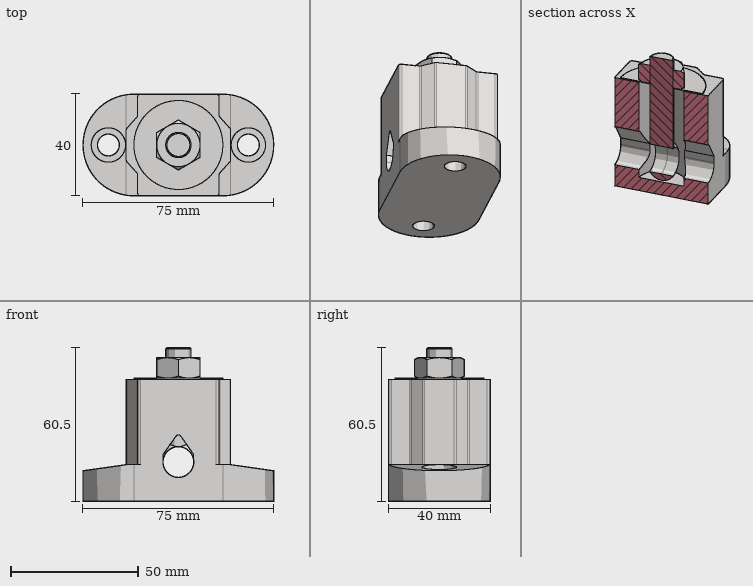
import cadquery as cq
import math

BASE_LENGTH = 75.0
WIDTH = 40.0
BASE_HEIGHT = 14.5
BASE_END_HEIGHT = 12.1

COLUMN_LENGTH = 41.0
COLUMN_TOP = 48.0
NECK_LENGTH = 32.0
NOTCH_START_Y = 6.3
NOTCH_END_Y = 11.3
COLUMN_EDGE_RADIUS = 1.2

MOUNT_SPACING = 55.0
MOUNT_DIAMETER = 8.5
COUNTERBORE_DIAMETER = 13.5
COUNTERBORE_FLOOR = 4.5

ROD_DIAMETER = 12.0
ROD_AXIS_Z = 15.5
PEAK_SHOULDER = 2.95
PEAK_SLOPE = 55.0
PEAK_RADIUS = 1.2

SHANK_DIAMETER = 10.0
BOLT_TOP = 60.5
BOLT_CHAMFER = 0.5
EYE_RING_RADIUS = 3.25
EYE_SECTION_RADIUS = 5.75
EYE_RADIUS = EYE_RING_RADIUS + EYE_SECTION_RADIUS

BORE_DIAMETER = 19.0
BORE_FLOOR = ROD_AXIS_Z - BORE_DIAMETER / 2

WASHER_DIAMETER = 35.0
WASHER_THICKNESS = 0.5
NUT_ACROSS_FLATS = 17.0
NUT_HEIGHT = 8.0
NUT_CHAMFER_ANGLE = 30.0
NUT_SIDES = 6


def upright_cylinder(diameter, bottom, top):
    """Cylinder on the Z axis between two heights."""
    return cq.Workplane("XY").workplane(offset=bottom).circle(diameter / 2).extrude(top - bottom)


def make_base():
    outline = cq.Workplane("XY").slot2D(BASE_LENGTH, WIDTH).extrude(BASE_HEIGHT)
    half_length = BASE_LENGTH / 2
    half_flat = COLUMN_LENGTH / 2
    side_profile = (
        cq.Workplane("XZ")
        .moveTo(-half_length, 0)
        .lineTo(half_length, 0)
        .lineTo(half_length, BASE_END_HEIGHT)
        .lineTo(half_flat, BASE_HEIGHT)
        .lineTo(-half_flat, BASE_HEIGHT)
        .lineTo(-half_length, BASE_END_HEIGHT)
        .close()
        .extrude(WIDTH / 2, both=True)
    )
    return outline.intersect(side_profile)


def make_column():
    """Cross-shaped block with slanted inner corners; every upright edge is rounded."""
    half_length = COLUMN_LENGTH / 2
    half_neck = NECK_LENGTH / 2
    half_width = WIDTH / 2
    quarter = [
        (half_length, NOTCH_START_Y),
        (half_neck, NOTCH_END_Y),
        (half_neck, half_width),
    ]
    right_side = [(x, -y) for x, y in reversed(quarter)] + quarter
    left_side = [(-x, -y) for x, y in right_side]
    return (
        cq.Workplane("XY")
        .workplane(offset=BASE_HEIGHT)
        .polyline(right_side + left_side)
        .close()
        .extrude(COLUMN_TOP - BASE_HEIGHT)
        .edges("|Z")
        .fillet(COLUMN_EDGE_RADIUS)
    )


def make_rod_opening():
    """Cross hole along Y: round below, with straight sides and a rounded peak above."""
    radius = ROD_DIAMETER / 2
    slope = math.radians(PEAK_SLOPE)
    shoulder_z = ROD_AXIS_Z + PEAK_SHOULDER
    sharp_peak_z = shoulder_z + radius * math.tan(slope)
    arc_centre_z = sharp_peak_z - PEAK_RADIUS / math.cos(slope)
    tangent_x = PEAK_RADIUS * math.sin(slope)
    tangent_z = arc_centre_z + PEAK_RADIUS * math.cos(slope)
    return (
        cq.Workplane("XZ")
        .moveTo(-radius, ROD_AXIS_Z)
        .threePointArc((0, ROD_AXIS_Z - radius), (radius, ROD_AXIS_Z))
        .lineTo(radius, shoulder_z)
        .lineTo(tangent_x, tangent_z)
        .threePointArc((0, arc_centre_z + PEAK_RADIUS), (-tangent_x, tangent_z))
        .lineTo(-radius, shoulder_z)
        .close()
        .extrude(WIDTH / 2, both=True)
    )


def make_housing():
    mount_points = [(-MOUNT_SPACING / 2, 0), (MOUNT_SPACING / 2, 0)]
    mount_holes = (
        cq.Workplane("XY")
        .pushPoints(mount_points)
        .circle(MOUNT_DIAMETER / 2)
        .extrude(BASE_HEIGHT)
    )
    counterbores = (
        cq.Workplane("XY")
        .workplane(offset=COUNTERBORE_FLOOR)
        .pushPoints(mount_points)
        .circle(COUNTERBORE_DIAMETER / 2)
        .extrude(BASE_HEIGHT - COUNTERBORE_FLOOR)
    )
    bore = upright_cylinder(BORE_DIAMETER, BORE_FLOOR, COLUMN_TOP)
    block = make_base().cut(mount_holes).cut(counterbores).union(make_column())
    return block.cut(bore).cut(make_rod_opening())


def make_eye_bolt():
    """Shank ending in a rounded eye; the rod hole runs through the eye along Y."""
    eye = (
        cq.Workplane("XY")
        .moveTo(0, -EYE_SECTION_RADIUS)
        .lineTo(EYE_RING_RADIUS, -EYE_SECTION_RADIUS)
        .threePointArc((EYE_RADIUS, 0), (EYE_RING_RADIUS, EYE_SECTION_RADIUS))
        .lineTo(0, EYE_SECTION_RADIUS)
        .close()
        .revolve(360, (0, 0, 0), (0, 1, 0))
        .translate((0, 0, ROD_AXIS_Z))
    )
    shank = upright_cylinder(SHANK_DIAMETER, ROD_AXIS_Z, BOLT_TOP).faces(">Z").chamfer(BOLT_CHAMFER)
    rod_hole = (
        cq.Workplane("XZ")
        .center(0, ROD_AXIS_Z)
        .circle(ROD_DIAMETER / 2)
        .extrude(WIDTH / 2, both=True)
    )
    return shank.union(eye).cut(rod_hole)


def make_washer():
    washer = upright_cylinder(WASHER_DIAMETER, COLUMN_TOP, COLUMN_TOP + WASHER_THICKNESS)
    return washer.cut(upright_cylinder(SHANK_DIAMETER, 0, BOLT_TOP))


def make_nut():
    """Hexagon nut with two corners on the Y axis and both ends chamfered."""
    bottom = COLUMN_TOP + WASHER_THICKNESS
    flat_radius = NUT_ACROSS_FLATS / 2
    corner_radius = flat_radius / math.cos(math.pi / NUT_SIDES)
    corner_drop = (corner_radius - flat_radius) * math.tan(math.radians(NUT_CHAMFER_ANGLE))
    hexagon = (
        cq.Workplane("XY")
        .workplane(offset=bottom)
        .transformed(rotate=(0, 0, 90))
        .polygon(NUT_SIDES, 2 * corner_radius)
        .extrude(NUT_HEIGHT)
    )
    chamfer_envelope = (
        cq.Workplane("XZ")
        .moveTo(0, 0)
        .lineTo(flat_radius, 0)
        .lineTo(corner_radius, corner_drop)
        .lineTo(corner_radius, NUT_HEIGHT - corner_drop)
        .lineTo(flat_radius, NUT_HEIGHT)
        .lineTo(0, NUT_HEIGHT)
        .close()
        .revolve(360, (0, 0, 0), (0, 1, 0))
        .translate((0, 0, bottom))
    )
    return hexagon.intersect(chamfer_envelope).cut(upright_cylinder(SHANK_DIAMETER, 0, BOLT_TOP))


housing = make_housing()
eye_bolt = make_eye_bolt()
washer = make_washer()
nut = make_nut()

bodies = [housing, eye_bolt, washer, nut]
result = cq.Compound.makeCompound([body.solids().val() for body in bodies])